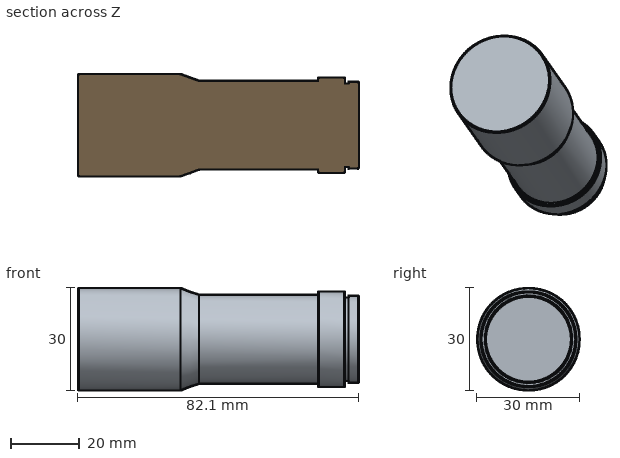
import cadquery as cq

length = 82.1
head_end = 30.0
taper_end = 35.4
collar_start = 70.0
collar_end = 78.0
groove_end = 79.0

head_diameter = 30.0
body_diameter = 26.0
collar_diameter = 28.0
groove_diameter = 24.5
tip_diameter = 25.45

edge_chamfer = 0.3


def cylinder(start, end, diameter):
    """Solid cylinder along X between two axial stations."""
    return (
        cq.Workplane("YZ", origin=(start, 0, 0))
        .circle(diameter / 2)
        .extrude(end - start)
    )


def taper(start, end, start_diameter, end_diameter):
    """Solid cone frustum along X between two axial stations."""
    return (
        cq.Workplane("YZ", origin=(start, 0, 0))
        .circle(start_diameter / 2)
        .workplane(offset=end - start)
        .circle(end_diameter / 2)
        .loft(ruled=True)
    )


head = cylinder(0, head_end, head_diameter).faces("<X").chamfer(edge_chamfer)
neck = taper(head_end, taper_end, head_diameter, body_diameter)
body = cylinder(taper_end, collar_start, body_diameter)

collar = cylinder(collar_start, collar_end, collar_diameter).edges().chamfer(edge_chamfer)

groove = cylinder(collar_end, groove_end, groove_diameter)
tip = cylinder(groove_end, length, tip_diameter).faces(">X").chamfer(edge_chamfer)

result = head.union(neck).union(body).union(collar).union(groove).union(tip)